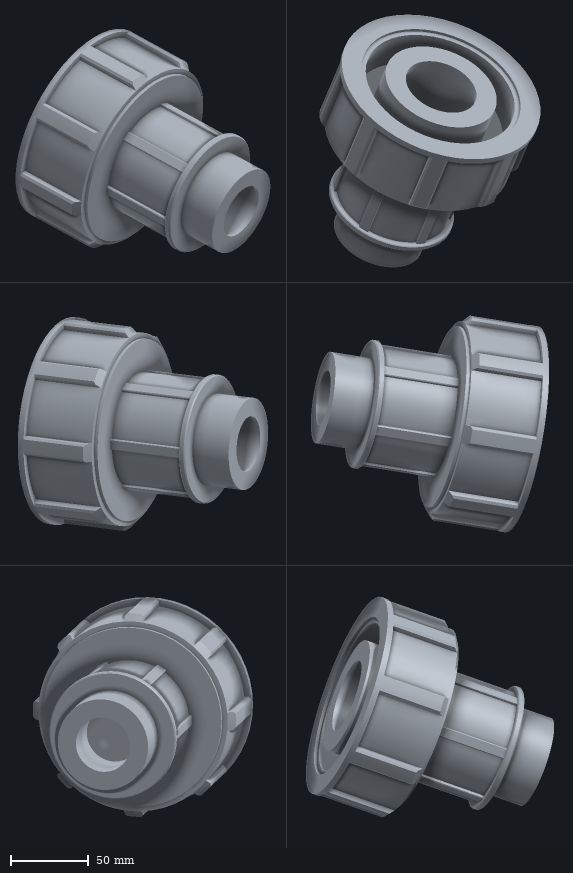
import cadquery as cq

total_length = 132.0

nut_diameter = 134.0
nut_body_diameter = 125.0
nut_rim_length = 4.0
nut_length = 50.4
grip_count = 8
grip_width = 12.0
grip_edge_chamfer = 1.6
grip_end_bevel_length = 4.0

recess_mouth_diameter = 107.2
recess_mouth_depth = 2.0
recess_diameter = 100.5
recess_depth = 27.1

collar_diameter = 117.9
collar_end = 52.8
sleeve_diameter = 75.0
flange_diameter = 83.5
flange_start = 102.2
flange_end = 106.4
flange_front_chamfer = 0.5
flange_back_chamfer = 0.8
spigot_diameter = 59.6
sleeve_rib_count = 6
sleeve_rib_width = 7.0
sleeve_rib_diameter = 78.8
sleeve_rib_chamfer = 0.5

bore_front_diameter = 47.7
bore_back_diameter = 35.8
bore_taper_length = 3.9


def cylinder(diameter, start, end):
    """Solid cylinder along X between two stations."""
    return cq.Workplane("YZ").workplane(offset=start).circle(diameter / 2).extrude(end - start)


def around_axis(shape, count):
    """Union of equally spaced copies of a shape turned about the X axis."""
    copies = shape
    for index in range(1, count):
        copies = copies.union(shape.rotate((0, 0, 0), (1, 0, 0), index * 360 / count))
    return copies


def grip_ribs():
    """Axial ribs of the nut, with bevelled long edges and a bevelled back end."""
    height = nut_diameter / 2
    rib = (
        cq.Workplane("YZ")
        .workplane(offset=nut_rim_length)
        .center(0, height * 3 / 4)
        .rect(grip_width, height / 2)
        .extrude(nut_length - nut_rim_length)
        .edges("|X and >Z")
        .chamfer(grip_edge_chamfer)
    )
    bevel_height = (nut_diameter - nut_body_diameter) / 2
    envelope = (
        cylinder(nut_diameter, 0, nut_length)
        .faces(">X")
        .edges()
        .chamfer(grip_end_bevel_length, bevel_height)
    )
    return around_axis(rib, grip_count).intersect(envelope)


def sleeve_ribs():
    """Low axial ribs on the sleeve, between the collar and the flange."""
    height = sleeve_rib_diameter / 2
    rib = (
        cq.Workplane("XY")
        .box(flange_start - collar_end, height, sleeve_rib_width, centered=(False, False, True))
        .translate((collar_end, 0, 0))
        .edges("|X and >Y")
        .chamfer(sleeve_rib_chamfer)
    )
    return around_axis(rib, sleeve_rib_count)


def nut():
    """Hollow nut with a full-diameter front rim and a stepped recess."""
    body = (
        cylinder(nut_body_diameter, 0, nut_length)
        .union(cylinder(nut_diameter, 0, nut_rim_length))
        .union(grip_ribs())
    )
    recess = cylinder(recess_diameter, 0, recess_depth)
    recess_mouth = cylinder(recess_mouth_diameter, 0, recess_mouth_depth)
    return body.cut(recess).cut(recess_mouth)


def tail():
    """Everything that surrounds the bore: sleeve, collar, flange and spigot."""
    flange = (
        cylinder(flange_diameter, flange_start, flange_end)
        .faces("<X")
        .edges()
        .chamfer(flange_front_chamfer)
        .faces(">X")
        .edges()
        .chamfer(flange_back_chamfer)
    )
    return (
        cylinder(sleeve_diameter, 0, flange_start)
        .union(cylinder(collar_diameter, nut_length, collar_end))
        .union(sleeve_ribs())
        .union(flange)
        .union(cylinder(spigot_diameter, flange_start, total_length))
    )


def bore():
    """Wide front bore that tapers down to a narrower back bore."""
    front_radius = bore_front_diameter / 2
    back_radius = bore_back_diameter / 2
    taper_start = flange_start - bore_taper_length
    return (
        cq.Workplane("XY")
        .moveTo(0, 0)
        .lineTo(0, front_radius)
        .lineTo(taper_start, front_radius)
        .lineTo(flange_start, back_radius)
        .lineTo(total_length, back_radius)
        .lineTo(total_length, 0)
        .close()
        .revolve(360, (0, 0, 0), (1, 0, 0))
    )


result = nut().union(tail()).cut(bore())